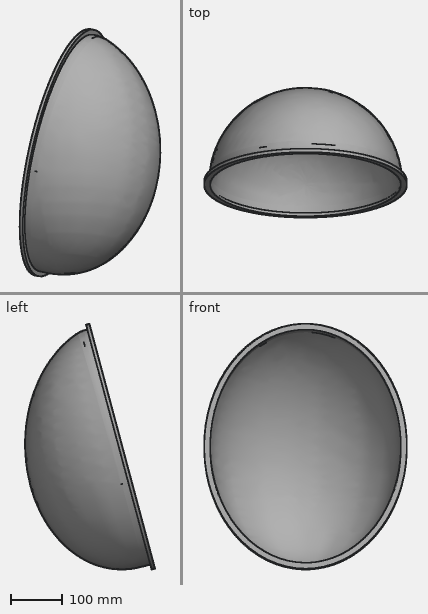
import cadquery as cq
import math

dome_radius = 189.65
dome_half_height = 244.83
wall = 2.0

rim_tilt = math.radians(15.0)
collar_depth = 20.0
flange_thickness = 7.0
flange_overhang = 10.0

collar_edge_radius = 40.0
rounding_end = -collar_depth / math.tan(rim_tilt)
depth_tolerance = 0.05

inward_y = math.cos(rim_tilt)
inward_z = -math.sin(rim_tilt)
upward_y = math.sin(rim_tilt)
upward_z = math.cos(rim_tilt)

rim_plane = cq.Plane(origin=(0, 0, 0), xDir=(1, 0, 0), normal=(0, inward_y, inward_z))
collar_end_plane = cq.Plane(
    origin=(0, collar_depth * inward_y, collar_depth * inward_z),
    xDir=(1, 0, 0),
    normal=(0, inward_y, inward_z),
)
keep_size = 4 * dome_half_height


def spheroid(radius, half_height):
    """Solid of revolution of a half ellipse about the Z axis."""
    return (
        cq.Workplane("XZ")
        .moveTo(0, -half_height)
        .ellipseArc(radius, half_height, -90, 90, startAtCurrent=True)
        .close()
        .revolve(360, (0, 0, 0), (0, 1, 0))
    )


def collar_section(radius, half_height):
    """Ellipse cut from a spheroid by the collar end plane: half width, half length, shift up the rim."""
    reach_squared = (radius * inward_y) ** 2 + (half_height * inward_z) ** 2
    shrink = math.sqrt(1 - collar_depth**2 / reach_squared)
    half_width = radius * shrink
    half_length = radius * half_height / math.sqrt(reach_squared) * shrink
    skew = radius**2 * inward_y * upward_y + half_height**2 * inward_z * upward_z
    shift = collar_depth * skew / reach_squared
    return half_width, half_length, shift


def elliptical_plate(half_width, half_length, shift, depth):
    """Elliptical cylinder from the rim face into the dome; local Y of the rim plane points down the rim."""
    return (
        cq.Workplane(rim_plane)
        .center(0, -shift)
        .ellipse(half_width, half_length)
        .extrude(depth)
    )


def lies_on_collar_end(edge):
    """True for an edge whose centre lies on the collar end plane."""
    depth = collar_end_plane.toLocalCoords(edge.Center()).z
    return abs(depth) < depth_tolerance


def round_collar_edge(solid):
    """Round the outside edge between the collar and the dome, from the top down to the rounding's end."""
    cut_plane = cq.Plane(
        origin=(0, rounding_end * upward_y, rounding_end * upward_z),
        xDir=(1, 0, 0),
        normal=(0, upward_y, upward_z),
    )
    upper_space = cq.Workplane(cut_plane).rect(keep_size, keep_size).extrude(keep_size)
    upper_part = solid.intersect(upper_space)
    collar_edges = [edge for edge in upper_part.edges().vals() if lies_on_collar_end(edge)]
    rounded_part = upper_part.newObject(collar_edges).fillet(collar_edge_radius)
    return solid.cut(upper_space).union(rounded_part)


outer_width, outer_length, outer_shift = collar_section(dome_radius, dome_half_height)
inner_width, inner_length, inner_shift = collar_section(dome_radius - wall, dome_half_height - wall)

behind_collar = cq.Workplane(collar_end_plane).rect(keep_size, keep_size).extrude(keep_size)
outer_dome = spheroid(dome_radius, dome_half_height).intersect(behind_collar)
inner_dome = spheroid(dome_radius - wall, dome_half_height - wall).intersect(behind_collar)

collar = elliptical_plate(outer_width, outer_length, outer_shift, collar_depth)
flange = elliptical_plate(
    outer_width + flange_overhang,
    outer_length + flange_overhang,
    outer_shift,
    flange_thickness,
)
bore = elliptical_plate(inner_width, inner_length, inner_shift, collar_depth)

outside = round_collar_edge(outer_dome.union(collar)).union(flange)
cavity = inner_dome.union(bore)
result = outside.cut(cavity)